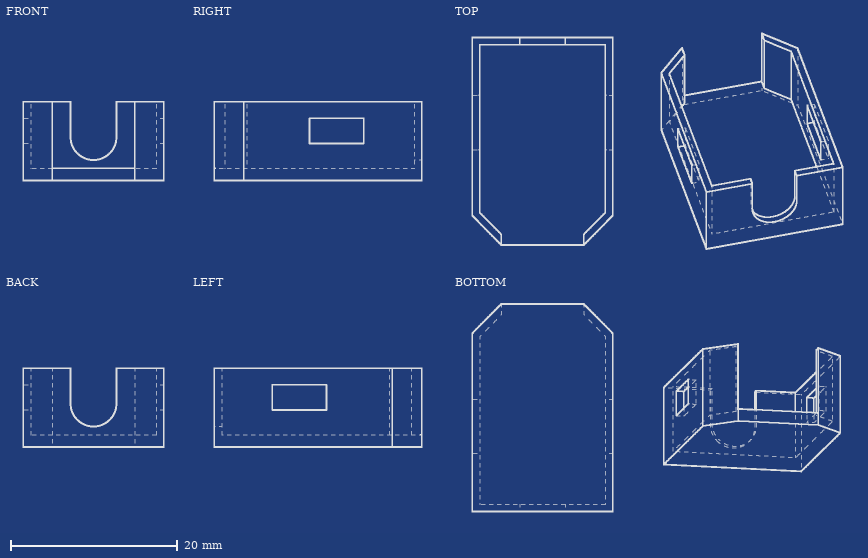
import cadquery as cq
import math

width = 16.95
length = 25.0
height = 9.5
wall = 0.9
floor = 1.5

mouth_width = 9.9
corner_depth = 3.575

notch_width = 5.5
notch_bottom = 2.5

window_length = 6.5
window_height = 3.0
window_bottom = 4.5
window_from_back = 7.0

front = -length / 2
back = length / 2


def make_body():
    """Solid block with its two front corners cut off at a slant."""
    half_width = width / 2
    half_mouth = mouth_width / 2
    outline = [
        (-half_width, back),
        (half_width, back),
        (half_width, front + corner_depth),
        (half_mouth, front),
        (-half_mouth, front),
        (-half_width, front + corner_depth),
    ]
    return cq.Workplane("XY").polyline(outline).close().extrude(height)


def make_cavity():
    """Space above the floor: even wall thickness all round, open at the mouth."""
    half_inside = width / 2 - wall
    half_mouth = mouth_width / 2
    slope = corner_depth / (width / 2 - half_mouth)
    slant_end = front + wall * math.hypot(1, slope)
    slant_start = slant_end + slope * (half_inside - half_mouth)
    outline = [
        (-half_inside, back - wall),
        (half_inside, back - wall),
        (half_inside, slant_start),
        (half_mouth, slant_end),
        (half_mouth, front),
        (-half_mouth, front),
        (-half_mouth, slant_end),
        (-half_inside, slant_start),
    ]
    return cq.Workplane("XY", origin=(0, 0, floor)).polyline(outline).close().extrude(height - floor)


def make_notch():
    """U-shaped notch through the back wall, open at the top."""
    radius = notch_width / 2
    arc_centre = notch_bottom + radius
    return (
        cq.Workplane("XZ", origin=(0, back, 0))
        .moveTo(-radius, height)
        .lineTo(-radius, arc_centre)
        .threePointArc((0, notch_bottom), (radius, arc_centre))
        .lineTo(radius, height)
        .close()
        .extrude(wall)
    )


def make_windows():
    """One bar across the full width that opens a window in each side wall."""
    centre_y = back - window_from_back - window_length / 2
    return cq.Workplane("XY", origin=(0, centre_y, window_bottom)).box(
        width, window_length, window_height, centered=(True, True, False)
    )


result = make_body().cut(make_cavity()).cut(make_notch()).cut(make_windows())